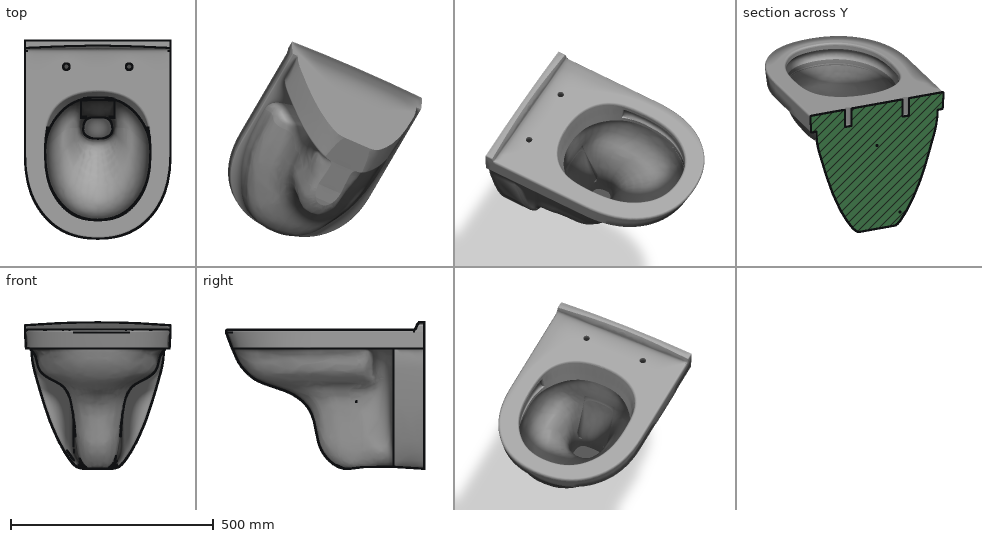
import cadquery as cq


HALF_WIDTH = 179.93
TOTAL_REACH = 490.0
TOTAL_HEIGHT = 362.23
RIM_TOP = 344.0
RIM_BOTTOM = 297.0
RIM_STRAIGHT_REACH = 281.0
RIM_BOTTOM_HALF_WIDTH = 177.5
RIM_BOTTOM_REACH = 475.0
RIM_TOP_ROUND = 5.0
RIM_EDGE_BAND = 7.0
RIM_BOTTOM_ROUND = 3.0

FRONT_FULLNESS = 0.732
BASIN_BACK_FULLNESS = 0.8

UPSTAND_TOP_REACH = 13.0
UPSTAND_FOOT_REACH = 26.0
UPSTAND_END_HEIGHT = 355.0
UPSTAND_ROUND = 3.0

HINGE_HOLE_DIAMETER = 16.0
HINGE_HOLE_OFFSET = 77.5
HINGE_HOLE_REACH = 65.0

FLANGE_REACH = 77.0
FLANGE_TOP = 298.0
FLANGE_TOP_HALF_WIDTH = 164.0
FLANGE_FOOT_HALF_WIDTH = 30.0
FLANGE_FLANK = [(147.5, 209.0), (120.5, 124.0), (67.0, 20.0)]
FLANGE_EDGE_ROUND = 7.0

ROOT_LENGTH = 18.0
ROOT_WIDTH = 10.0
BOWL_LEVELS = [
    (0.0, 20.0, 24.0, 165.0, 198.0),
    (5.0, 28.0, 32.0, 165.0, 213.0),
    (16.0, 44.0, 40.0, 170.0, 230.0),
    (34.0, 56.0, 46.0, 175.0, 247.0),
    (56.0, 60.0, 50.0, 180.0, 259.0),
    (121.0, 60.0, 59.0, 183.0, 274.0),
    (153.0, 60.0, 64.0, 183.0, 289.0),
    (180.0, 60.0, 71.0, 183.0, 319.0),
    (195.0, 60.0, 79.0, 183.0, 351.0),
    (209.0, 60.0, 93.0, 165.0, 392.0),
    (227.0, 61.0, 126.0, 165.0, 427.0),
    (258.0, 63.0, 149.0, 165.0, 456.0),
    (284.0, 65.0, 157.0, 167.0, 469.0),
    (291.0, 67.0, 162.0, 170.0, 472.0),
    (300.0, 70.0, 170.0, 175.0, 474.0),
]

OPENING_HALF_WIDTH = 130.0
OPENING_BACK_REACH = 127.0
OPENING_SHOULDER = (113.0, 180.0)
OPENING_BOTTOM_BACK_REACH = 142.0
OPENING_BOTTOM_SHOULDER = (100.0, 190.0)
OPENING_WIDEST_REACH = 275.0
OPENING_FRONT_REACH = 444.0
OPENING_ROUND = 5.0
OPENING_BOTTOM = 285.0

CHANNEL_TOP = 330.0
CHANNEL_BOTTOM = 300.0
CHANNEL_DEPTH = 12.0
CHANNEL_OVERLAP = 2.0
CHANNEL_START_REACH = 215.0

BASIN_LEVELS = [
    (85.0, 36.0, 190.0, 220.0, 243.0),
    (100.0, 40.0, 187.0, 220.0, 249.0),
    (143.0, 47.0, 172.0, 215.0, 266.0),
    (180.0, 57.0, 158.0, 217.0, 303.0),
    (207.0, 73.0, 150.0, 219.0, 348.0),
    (230.0, 101.0, 147.0, 240.0, 405.0),
    (258.0, 125.0, 144.0, 260.0, 436.0),
    (290.0, 131.0, 141.0, 275.0, 445.0),
]

TRAP_HALF_WIDTH = 41.0
TRAP_BACK_WALL = [(144.0, 230.0), (158.0, 195.0), (188.0, 108.0)]
TRAP_FRONT_REACH = 192.0

UNDERSIDE_RELIEF = [(0.0, 0.0), (78.0, 5.0), (150.0, 4.5), (185.0, 0.0)]

TOWARD_FRONT = (0, -1)
TOWARD_RIGHT = (1, 0)
TOWARD_LEFT = (-1, 0)


def at_height(height):
    return cq.Workplane("XY").workplane(offset=height)


def front_curve(half, half_width, widest_reach, front_reach):
    """Continue a half outline from the right flank to the nose on the centre line."""
    shoulder_x = FRONT_FULLNESS * half_width
    shoulder_y = -widest_reach - FRONT_FULLNESS * (front_reach - widest_reach)
    return half.spline(
        [(shoulder_x, shoulder_y), (0, -front_reach)],
        tangents=[TOWARD_FRONT, TOWARD_LEFT],
        includeCurrent=True,
    )


def mirrored_outline(half):
    """Closed outline from a half that starts and ends on the centre line."""
    right = half.wire().val()
    return cq.Wire.combine([right, right.mirror("YZ")])[0]


def egg_outline(height, half_width, back_reach, shoulder, widest_reach, front_reach):
    """Egg shape; the shoulder (half width, reach) sets how full its back is."""
    shoulder_x, shoulder_reach = shoulder
    half = (
        at_height(height)
        .moveTo(0, -back_reach)
        .spline(
            [(shoulder_x, -shoulder_reach), (half_width, -widest_reach)],
            tangents=[TOWARD_RIGHT, TOWARD_FRONT],
            includeCurrent=True,
        )
    )
    return mirrored_outline(front_curve(half, half_width, widest_reach, front_reach))


def loft_levels(wires):
    return cq.Workplane(cq.Solid.makeLoft(wires))


def rim_outline(height, half_width, front_reach):
    half = at_height(height).moveTo(0, 0).lineTo(half_width, 0).lineTo(half_width, -RIM_STRAIGHT_REACH)
    return mirrored_outline(front_curve(half, half_width, RIM_STRAIGHT_REACH, front_reach))


def make_rim():
    bottom = rim_outline(RIM_BOTTOM, RIM_BOTTOM_HALF_WIDTH, RIM_BOTTOM_REACH)
    edge = rim_outline(RIM_TOP - RIM_EDGE_BAND, HALF_WIDTH, TOTAL_REACH)
    top = rim_outline(RIM_TOP, HALF_WIDTH, TOTAL_REACH)
    lower = loft_levels([bottom, edge]).faces("<Z").edges("not >Y").fillet(RIM_BOTTOM_ROUND)
    upper = loft_levels([edge, top]).faces(">Z").edges("not >Y").fillet(RIM_TOP_ROUND)
    return lower.union(upper)


def make_upstand():
    base = RIM_TOP - RIM_EDGE_BAND
    mid_reach = (UPSTAND_TOP_REACH + UPSTAND_FOOT_REACH) / 2
    mid_height = (RIM_TOP + TOTAL_HEIGHT) / 2
    ledge = (
        cq.Workplane("YZ")
        .moveTo(0, base)
        .lineTo(0, TOTAL_HEIGHT)
        .lineTo(-UPSTAND_TOP_REACH, TOTAL_HEIGHT)
        .spline(
            [(-mid_reach, mid_height), (-UPSTAND_FOOT_REACH, RIM_TOP)],
            tangents=[(-1, -1), (-1, 0)],
            includeCurrent=True,
        )
        .lineTo(-UPSTAND_FOOT_REACH, base)
        .close()
        .extrude(HALF_WIDTH, both=True)
    )
    arch = (
        cq.Workplane("XZ")
        .moveTo(-HALF_WIDTH, base)
        .lineTo(-HALF_WIDTH, UPSTAND_END_HEIGHT)
        .threePointArc((0, TOTAL_HEIGHT), (HALF_WIDTH, UPSTAND_END_HEIGHT))
        .lineTo(HALF_WIDTH, base)
        .close()
        .extrude(UPSTAND_FOOT_REACH)
        .edges("|Y")
        .edges(">Z")
        .fillet(UPSTAND_ROUND)
    )
    return ledge.intersect(arch)


def make_flange():
    flank = FLANGE_FLANK + [(FLANGE_FOOT_HALF_WIDTH, 0)]
    half = (
        cq.Workplane("XZ")
        .moveTo(0, FLANGE_TOP)
        .lineTo(FLANGE_TOP_HALF_WIDTH, FLANGE_TOP)
        .spline(flank, tangents=[(0, -1), (-1, 0)], includeCurrent=True)
        .lineTo(0, 0)
    )
    flange = cq.Workplane("XZ").add(mirrored_outline(half)).toPending().extrude(FLANGE_REACH)
    return flange.faces("<Y").edges("not >Z").fillet(FLANGE_EDGE_ROUND)


def bowl_outline(height, web, half_width, widest_reach, front_reach):
    """Web flaring into the flange at the back and swelling into the bowl at the front."""
    start_reach = FLANGE_REACH - FLANGE_EDGE_ROUND
    root_reach = FLANGE_REACH + ROOT_LENGTH
    root_x = web + ROOT_WIDTH
    half = (
        at_height(height)
        .moveTo(0, -start_reach)
        .lineTo(root_x, -start_reach)
        .lineTo(root_x, -FLANGE_REACH)
        .spline([(web, -root_reach)], tangents=[TOWARD_LEFT, TOWARD_FRONT], includeCurrent=True)
        .spline([(half_width, -widest_reach)], tangents=[TOWARD_FRONT, TOWARD_FRONT], includeCurrent=True)
    )
    return mirrored_outline(front_curve(half, half_width, widest_reach, front_reach))


def make_bowl():
    return loft_levels([bowl_outline(*level) for level in BOWL_LEVELS])


def opening_outline(height, shoulder, back_reach, margin=0.0):
    half_width = OPENING_HALF_WIDTH + margin
    front_reach = OPENING_FRONT_REACH + margin
    return egg_outline(height, half_width, back_reach, shoulder, OPENING_WIDEST_REACH, front_reach)


def make_opening():
    """The back wall leans forward on its way down; sides and front are upright."""
    bottom = opening_outline(OPENING_BOTTOM, OPENING_BOTTOM_SHOULDER, OPENING_BOTTOM_BACK_REACH)
    top = opening_outline(RIM_TOP, OPENING_SHOULDER, OPENING_BACK_REACH)
    return loft_levels([bottom, top])


def channel_outline(height, margin):
    return opening_outline(height, OPENING_SHOULDER, OPENING_BACK_REACH, margin)


def make_channel():
    middle = (CHANNEL_BOTTOM + CHANNEL_TOP) / 2
    ring = loft_levels(
        [
            channel_outline(CHANNEL_BOTTOM, -CHANNEL_OVERLAP),
            channel_outline(middle, CHANNEL_DEPTH),
            channel_outline(CHANNEL_TOP, -CHANNEL_OVERLAP),
        ]
    )
    front_block = (
        at_height(CHANNEL_BOTTOM)
        .center(0, -(CHANNEL_START_REACH + TOTAL_REACH) / 2)
        .rect(2 * HALF_WIDTH, TOTAL_REACH - CHANNEL_START_REACH)
        .extrude(CHANNEL_TOP - CHANNEL_BOTTOM)
    )
    return ring.intersect(front_block)


def basin_outline(height, half_width, back_reach, widest_reach, front_reach):
    shoulder_reach = widest_reach - BASIN_BACK_FULLNESS * (widest_reach - back_reach)
    shoulder = (BASIN_BACK_FULLNESS * half_width, shoulder_reach)
    return egg_outline(height, half_width, back_reach, shoulder, widest_reach, front_reach)


def make_basin():
    return loft_levels([basin_outline(*level) for level in BASIN_LEVELS])


def make_trap_inlet():
    _, top = TRAP_BACK_WALL[0]
    _, foot = TRAP_BACK_WALL[-1]
    outline = [(-reach, height) for reach, height in TRAP_BACK_WALL]
    outline += [(-TRAP_FRONT_REACH, foot), (-TRAP_FRONT_REACH, top)]
    return cq.Workplane("YZ").polyline(outline).close().extrude(TRAP_HALF_WIDTH, both=True)


def make_underside_relief():
    outline = [(-reach, height) for reach, height in UNDERSIDE_RELIEF]
    return cq.Workplane("YZ").polyline(outline).close().extrude(HALF_WIDTH, both=True)


def make_hinge_holes():
    places = [(side * HINGE_HOLE_OFFSET, -HINGE_HOLE_REACH) for side in (-1, 1)]
    holes = at_height(RIM_BOTTOM).pushPoints(places).circle(HINGE_HOLE_DIAMETER / 2)
    return holes.extrude(RIM_TOP - RIM_BOTTOM)


def round_opening(part):
    """Soften the lip where the opening meets the top of the rim."""
    slack = 1.0
    side = OPENING_HALF_WIDTH + slack
    lip = cq.selectors.BoxSelector(
        (-side, -OPENING_FRONT_REACH - slack, RIM_TOP - slack),
        (side, -OPENING_BACK_REACH + slack, RIM_TOP + slack),
        boundingbox=True,
    )
    return part.edges(lip).fillet(OPENING_ROUND)


body = make_rim().union(make_upstand()).union(make_flange()).union(make_bowl())
body = round_opening(body.cut(make_opening()))
body = body.cut(make_basin()).cut(make_trap_inlet()).cut(make_channel())
result = body.cut(make_underside_relief()).cut(make_hinge_holes())